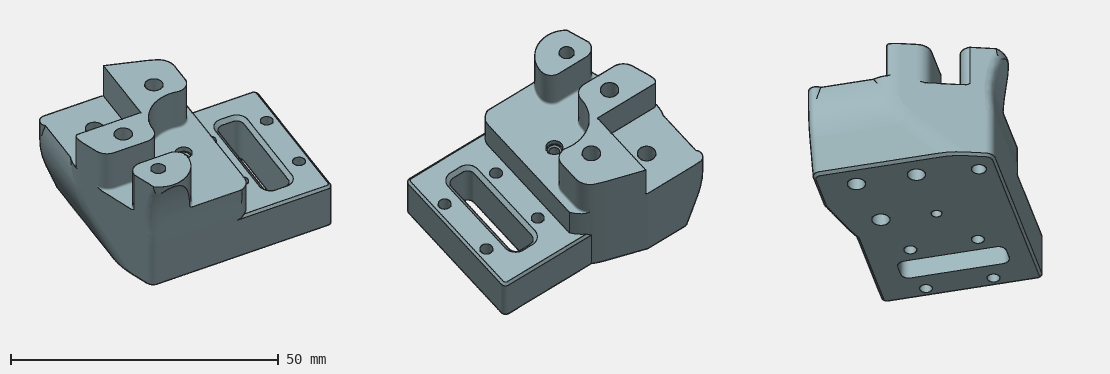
import cadquery as cq
import math

plate_top = 10.0
floor_top = 16.5
step_top = 18.0
post_top = 25.5

plate_left = 3.55
plate_right = 34.43
plate_back = 44.4
plate_corner_radius = 1.0
edge_chamfer = 0.5
plate_front = 17.75

block_back = 27.3
block_back_left = 6.17
block_corner_radius = 3.0
back_left_radius = 7.5
slant_angle = math.radians(19)
slant_start = 16.55
post_join_angle = math.radians(142)

outer_reach = 42.2
front_reach = -2.65
left_reach = -2.65
selection_margin = 0.05

front_bend = 13.73
front_radius = 20.0
front_lean = math.radians(20)

flare_start = 10.55
flare_turn = 12.93
flare_radius = 25.0

front_left_radius = 1.5
front_slant_radius = 7.5
slant_right_radius = 2.0

post_back = 25.7
post_back_left = 6.5
post_back_radius = 3.5
side_start = 13.6
side_bend = (2.58, 21.8)
side_lean = math.radians(20)
post_corner_radius = 2.5
post_front_radius = 3.0
hollow_center = (20.48, 21.3)
hollow_radius = 7.5
post_base_radius = 0.5
post_right = hollow_center[0] + post_corner_radius

step_right = 15.2
step_back = 14.0
step_edge_radius = 0.8

pillar_left = 27.8
pillar_center = (30.15, 9.95)
pillar_radius = 6.0
pillar_corner_radius = 2.45

post_hole_diameter = 3.4
post_holes = [(9.35, 19.8), (7.5, 8.25), (19.05, 8.25)]
pillar_hole_diameter = 2.8
pillar_hole = (30.8, 9.5)
plate_hole_diameter = 2.4
plate_hole_center = (18.95, 36.0)
plate_hole_spacing = (13.0, 12.0)
floor_hole = (19.85, 20.55)
floor_hole_diameter = 2.0
floor_cone_diameter = 2.65
floor_bore_diameter = 3.2
floor_bore_depth = 1.0

slot_center = (19.35, 35.6)
slot_length = 20.9
slot_width = 5.25
slot_corner_radius = 1.55
slot_chamfer = 0.8


def on_circle(center, radius, angle):
    return (center[0] + radius * math.cos(angle), center[1] + radius * math.sin(angle))


def slant_y(x):
    return (x - slant_start) * math.tan(slant_angle)


post_back_center = (post_back_left, post_back - post_back_radius)
post_back_end = on_circle(post_back_center, post_back_radius, math.pi - side_lean)
post_back_middle = on_circle(post_back_center, post_back_radius, math.radians(135) - side_lean / 2)

front_left_center = (front_left_radius, front_left_radius)
front_slant_center = (
    slant_start - front_slant_radius * math.tan(slant_angle / 2),
    front_slant_radius,
)


def block_outline():
    """Plan of the block, with its right side left open for the flare to trim."""
    join_start = on_circle(post_back_center, post_back_radius, post_join_angle)
    join_middle_angle = (post_join_angle + math.pi - side_lean) / 2
    join_middle = on_circle(post_back_center, post_back_radius, join_middle_angle)
    return (
        cq.Workplane("XY")
        .moveTo(0, 0)
        .lineTo(slant_start, 0)
        .lineTo(outer_reach, slant_y(outer_reach))
        .lineTo(outer_reach, block_back - block_corner_radius)
        .lineTo(plate_right, block_back - block_corner_radius)
        .radiusArc((plate_right - block_corner_radius, block_back), -block_corner_radius)
        .lineTo(block_back_left, block_back)
        .radiusArc(join_start, -back_left_radius)
        .threePointArc(join_middle, post_back_end)
        .lineTo(*side_bend)
        .lineTo(0, side_start)
        .close()
    )


def front_profile():
    """Side profile of the block, shaped by its front face."""
    arc_y = front_radius * (1 - math.cos(front_lean))
    arc_z = front_bend - front_radius * math.sin(front_lean)
    middle = (
        front_radius * (1 - math.cos(front_lean / 2)),
        front_bend - front_radius * math.sin(front_lean / 2),
    )
    return (
        cq.Workplane("YZ")
        .moveTo(0, post_top)
        .lineTo(0, front_bend)
        .threePointArc(middle, (arc_y, arc_z))
        .lineTo(arc_y + arc_z * math.tan(front_lean), 0)
        .lineTo(outer_reach, 0)
        .lineTo(outer_reach, post_top)
        .close()
    )


def flare_profile():
    """Front profile of the block, shaped by its flared right face."""
    rise = flare_turn - flare_start
    turn = math.asin(rise / flare_radius)
    turn_x = plate_right - flare_radius * (1 - math.cos(turn))
    hollow = (turn_x + flare_radius * math.cos(turn), flare_turn + rise)
    top_angle = math.pi - math.asin((post_top - hollow[1]) / flare_radius)
    return (
        cq.Workplane("XZ")
        .moveTo(left_reach, 0)
        .lineTo(plate_right, 0)
        .lineTo(plate_right, flare_start)
        .radiusArc((turn_x, flare_turn), -flare_radius)
        .threePointArc(on_circle(hollow, flare_radius, math.pi), on_circle(hollow, flare_radius, top_angle))
        .lineTo(left_reach, post_top)
        .close()
    )


def edge_near(body, point):
    return body.edges(cq.selectors.NearestToPointSelector(point))


def envelope():
    """Outer shape of the block, without the plate and before the top is opened up."""
    body = block_outline().extrude(post_top)
    body = body.intersect(front_profile().extrude(outer_reach))
    body = body.intersect(flare_profile().extrude(-outer_reach))
    upright_middle = (front_bend + post_top) / 2
    body = edge_near(body, (slant_start, 0, upright_middle)).fillet(front_slant_radius)
    body = edge_near(body, (0, 0, upright_middle)).fillet(front_left_radius)
    body = edge_near(body, (plate_right, slant_y(plate_right), flare_start / 2)).fillet(slant_right_radius)
    return body


def left_post():
    """Left post, running past the envelope on its left and front sides."""
    back_corner_end = (post_right, hollow_center[1] - hollow_radius - post_corner_radius)
    corner_sum = post_corner_radius + hollow_radius
    back_corner_y = post_back - post_corner_radius
    tilt = math.asin((back_corner_y - hollow_center[1]) / corner_sum)
    back_corner_center = (hollow_center[0] - corner_sum * math.cos(tilt), back_corner_y)
    hollow_start = on_circle(back_corner_center, post_corner_radius, -tilt)
    hollow_middle = on_circle(hollow_center, hollow_radius, math.radians(225) - tilt / 2)
    hollow_end = (hollow_center[0], hollow_center[1] - hollow_radius)
    front_x = post_right - post_front_radius
    front_y = slant_y(front_x) + post_front_radius / math.cos(slant_angle)
    front_end = on_circle((front_x, front_y), post_front_radius, slant_angle - math.pi / 2)
    return (
        cq.Workplane("XY")
        .moveTo(*post_back_end)
        .threePointArc(post_back_middle, (post_back_left, post_back))
        .lineTo(back_corner_center[0], post_back)
        .radiusArc(hollow_start, post_corner_radius)
        .threePointArc(hollow_middle, hollow_end)
        .radiusArc(back_corner_end, post_corner_radius)
        .lineTo(post_right, front_y)
        .radiusArc(front_end, post_front_radius)
        .lineTo(front_end[0], front_reach)
        .lineTo(left_reach, front_reach)
        .lineTo(left_reach, side_bend[1])
        .close()
        .extrude(post_top)
    )


def right_post():
    """Right post, running past the envelope on its front side."""
    back = pillar_center[1] + pillar_radius
    left_arc_x = pillar_left + pillar_corner_radius
    front = slant_y(left_arc_x)
    return (
        cq.Workplane("XY", origin=(0, 0, plate_top))
        .moveTo(pillar_left, front + pillar_corner_radius)
        .lineTo(pillar_left, back - pillar_corner_radius)
        .radiusArc((left_arc_x, back), pillar_corner_radius)
        .threePointArc(
            on_circle(pillar_center, pillar_radius, 0),
            on_circle(pillar_center, pillar_radius, -math.pi / 4),
        )
        .lineTo(left_arc_x, front)
        .radiusArc((pillar_left, front + pillar_corner_radius), pillar_corner_radius)
        .close()
        .extrude(post_top - plate_top)
    )


def block():
    """Floor with both posts, blended at their bases and trimmed to the outer shape."""
    floor = (
        cq.Workplane("XY")
        .box(2 * outer_reach, 2 * outer_reach, floor_top, centered=(True, True, False))
    )
    core = floor.union(left_post()).union(right_post())
    above_floor = cq.selectors.BoxSelector(
        (left_reach / 2, front_reach / 2, floor_top - selection_margin),
        (outer_reach, outer_reach, floor_top + selection_margin),
    )
    core = core.edges(above_floor).fillet(post_base_radius)
    return core.intersect(envelope())


def step_pocket():
    """Pocket above the step, rounding off the front end of its side wall."""
    edge_x = step_right + step_edge_radius
    center_distance = front_slant_radius - step_edge_radius
    edge_angle = -math.acos((edge_x - front_slant_center[0]) / center_distance)
    edge_center = on_circle(front_slant_center, center_distance, edge_angle)
    edge_end = on_circle(edge_center, step_edge_radius, edge_angle)
    return (
        cq.Workplane("XY", origin=(0, 0, step_top))
        .moveTo(left_reach, step_back)
        .lineTo(step_right, step_back)
        .lineTo(step_right, edge_center[1])
        .radiusArc(edge_end, -step_edge_radius)
        .lineTo(edge_end[0], front_reach)
        .lineTo(left_reach, front_reach)
        .close()
        .extrude(post_top - step_top)
    )


def front_roll():
    """Backward roll of the front face under the step, stopping at the upright rounded corners."""
    roll_end = front_radius - math.sqrt(front_radius ** 2 - (step_top - front_bend) ** 2)
    left_angle = -math.asin((front_left_radius - roll_end) / front_left_radius)
    right_angle = math.pi + math.asin((front_slant_radius - roll_end) / front_slant_radius)
    roll = (
        cq.Workplane("YZ")
        .moveTo(0, front_bend)
        .radiusArc((roll_end, step_top), front_radius)
        .lineTo(0, step_top)
        .close()
        .extrude(slant_start)
    )
    left_end = on_circle(front_left_center, front_left_radius, left_angle)
    right_end = on_circle(front_slant_center, front_slant_radius, right_angle)
    between_corners = (
        cq.Workplane("XY")
        .moveTo(front_left_center[0], 0)
        .lineTo(front_slant_center[0], 0)
        .radiusArc(right_end, front_slant_radius)
        .lineTo(*left_end)
        .radiusArc((front_left_center[0], 0), front_left_radius)
        .close()
        .extrude(post_top)
    )
    return roll.intersect(between_corners)


def plate():
    """Rear plate, chamfered around its top."""
    width = plate_right - plate_left
    return (
        cq.Workplane("XY")
        .box(width, plate_back - plate_front, plate_top, centered=False)
        .translate((plate_left, plate_front, 0))
        .edges("|Z and >Y")
        .fillet(plate_corner_radius)
        .faces(">Z")
        .edges("not <Y")
        .chamfer(edge_chamfer)
    )


def through_holes(points, diameter):
    return cq.Workplane("XY").pushPoints(points).circle(diameter / 2).extrude(post_top)


def plate_holes():
    return (
        cq.Workplane("XY")
        .center(*plate_hole_center)
        .rarray(*plate_hole_spacing, 2, 2)
        .circle(plate_hole_diameter / 2)
        .extrude(post_top)
    )


def floor_bore():
    """Counterbored hole with a short cone at the mouth of the smaller bore."""
    cone_depth = (floor_cone_diameter - floor_hole_diameter) / 2
    bore_bottom = floor_top - floor_bore_depth
    return (
        cq.Workplane("XZ")
        .lineTo(floor_hole_diameter / 2, 0)
        .lineTo(floor_hole_diameter / 2, bore_bottom - cone_depth)
        .lineTo(floor_cone_diameter / 2, bore_bottom)
        .lineTo(floor_bore_diameter / 2, bore_bottom)
        .lineTo(floor_bore_diameter / 2, floor_top)
        .lineTo(0, floor_top)
        .close()
        .revolve(360, (0, 0), (0, 1))
        .translate((*floor_hole, 0))
    )


def rounded_slot(growth):
    return (
        cq.Sketch()
        .rect(slot_length + 2 * growth, slot_width + 2 * growth)
        .vertices()
        .fillet(slot_corner_radius + growth)
    )


def slot_cutter():
    """Rounded slot, widening towards the top of the plate."""
    opening = cq.Workplane("XY").placeSketch(rounded_slot(0)).extrude(plate_top)
    rise = cq.Location(cq.Vector(0, 0, slot_chamfer))
    rim = (
        cq.Workplane("XY", origin=(0, 0, plate_top - slot_chamfer))
        .placeSketch(rounded_slot(0), rounded_slot(slot_chamfer).moved(rise))
        .loft()
    )
    return opening.union(rim).translate((*slot_center, 0))


body = block().cut(step_pocket()).cut(front_roll())
body = body.union(plate())
body = body.faces("<Z").edges().chamfer(edge_chamfer)
body = body.cut(slot_cutter())
body = body.cut(through_holes(post_holes, post_hole_diameter))
body = body.cut(through_holes([pillar_hole], pillar_hole_diameter))
body = body.cut(plate_holes())
body = body.cut(floor_bore())
result = body